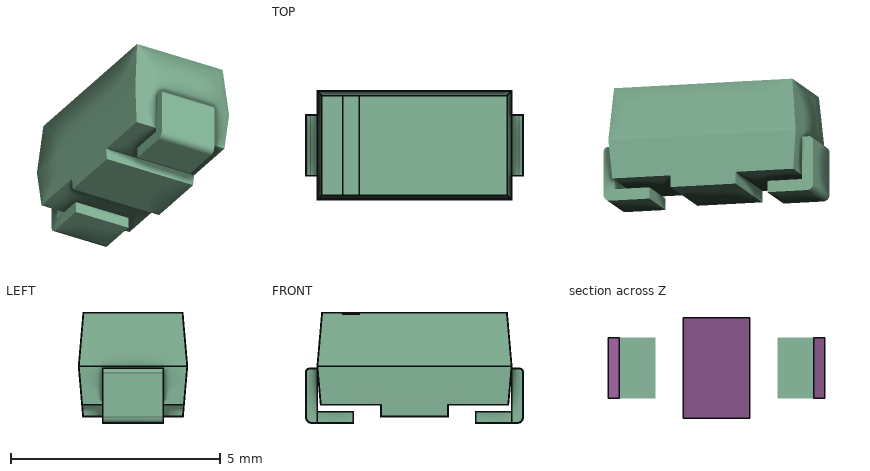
import cadquery as cq
import math

total_length = 5.2
total_height = 2.64

body_width = 2.6
draft_angle = 5.0
parting_z = 1.355
body_floor_z = 0.435
pedestal_bottom_z = 0.155
pedestal_length = 1.61

band_start_x = -1.72
band_width = 0.395
band_depth = 0.04

lead_thickness = 0.275
lead_width = 1.455
post_height = 1.31
post_top_radius = 0.105
post_bottom_radius = 0.15
foot_length = 0.865

post_inner_x = total_length / 2 - lead_thickness
body_length = 2 * post_inner_x


def drafted_block(end_z):
    """Block that narrows from the parting plane to end_z."""
    inset = abs(end_z - parting_z) * math.tan(math.radians(draft_angle))
    return (
        cq.Workplane("XY", origin=(0, 0, parting_z))
        .rect(body_length, body_width)
        .workplane(offset=end_z - parting_z)
        .rect(body_length - 2 * inset, body_width - 2 * inset)
        .loft(ruled=True)
    )


def make_band(upper_block):
    """Strip across the top whose ends follow the drafted body sides."""
    strip = cq.Workplane("XY").box(
        band_width, body_width, band_depth, centered=(False, True, False)
    )
    return upper_block.intersect(
        strip.translate((band_start_x, 0, total_height - band_depth))
    )


def make_lower_housing():
    """Drafted lower half, cut away at both ends to leave a central pedestal."""
    relief_height = body_floor_z - pedestal_bottom_z
    relief_length = (body_length - pedestal_length) / 2
    relief_x = (body_length + pedestal_length) / 4
    reliefs = (
        cq.Workplane("XY", origin=(0, 0, pedestal_bottom_z))
        .pushPoints([(-relief_x, 0), (relief_x, 0)])
        .rect(relief_length, body_width)
        .extrude(relief_height)
    )
    return drafted_block(pedestal_bottom_z).cut(reliefs)


def make_post(side):
    """Upright lead plate with rounded outer edges; side is -1 or +1 along X."""
    outer_face = "<X" if side < 0 else ">X"
    center_x = side * (total_length - lead_thickness) / 2
    post = cq.Workplane("XY").box(
        lead_thickness, lead_width, post_height, centered=(True, True, False)
    )
    post = post.faces(outer_face).edges(">Z").fillet(post_top_radius)
    post = post.faces(outer_face).edges("<Z").fillet(post_bottom_radius)
    return post.translate((center_x, 0, 0))


def make_foot(side):
    """Flat solder foot running inward from the post; side is -1 or +1 along X."""
    center_x = side * (post_inner_x - foot_length / 2)
    foot = cq.Workplane("XY").box(
        foot_length, lead_width, lead_thickness, centered=(True, True, False)
    )
    return foot.translate((center_x, 0, 0))


upper_block = drafted_block(total_height)
band = make_band(upper_block)
upper_housing = upper_block.cut(band)
lower_housing = make_lower_housing()

posts = []
feet = []
for side in (-1, 1):
    posts.append(make_post(side).val())
    feet.append(make_foot(side).val())

result = cq.Compound.makeCompound(
    [
        *upper_housing.vals(),
        *lower_housing.vals(),
        *band.vals(),
        *posts,
        *feet,
    ]
)